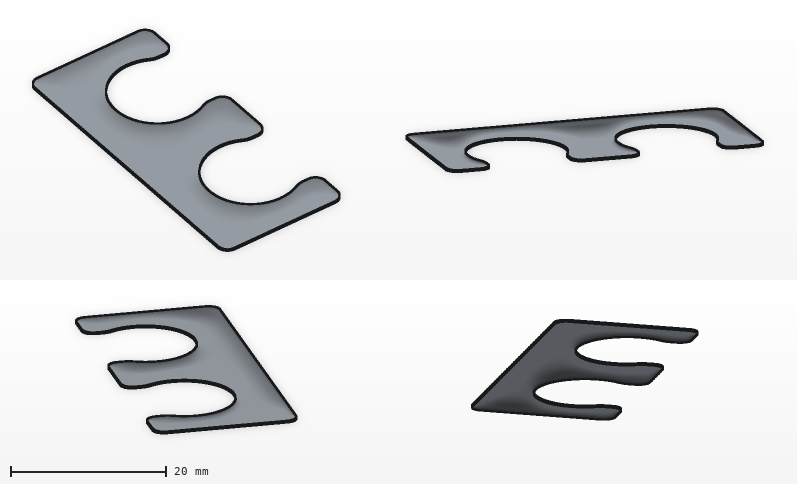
import cadquery as cq
import math

length = 42.85
width = 19.05
thickness = 0.25
corner_radius = 1.5

seat_radius = 6.6
seat_spacing = 20.3
seat_wall = 5.75
throat_width = 11.1
mouth_radius = 1.5
neck_radius = 3.0

back_y = width / 2
seat_y = -back_y + seat_wall + seat_radius
throat_length = back_y - seat_y


def clip_seat(x):
    """Round seat joined to the throat that opens it to the back edge."""
    seat = cq.Workplane("XY").center(x, seat_y).circle(seat_radius).extrude(thickness)
    throat = (
        cq.Workplane("XY")
        .center(x, seat_y + throat_length / 2)
        .rect(throat_width, throat_length)
        .extrude(thickness)
    )
    return seat.union(throat)


plate = cq.Workplane("XY").rect(length, width).extrude(thickness)
plate = plate.edges("|Z").fillet(corner_radius)

for seat_x in (-seat_spacing / 2, seat_spacing / 2):
    plate = plate.cut(clip_seat(seat_x))

neck_y = seat_y + math.sqrt(seat_radius**2 - (throat_width / 2) ** 2)


def throat_edges(y):
    """Selector for the upright throat edges at depth y, clear of the plate's end corners."""
    half_span = length / 2 - 2 * corner_radius
    margin = 0.45
    return cq.selectors.BoxSelector(
        (-half_span, y - margin, -margin),
        (half_span, y + margin, thickness + margin),
    )


plate = plate.edges("|Z").edges(throat_edges(neck_y)).fillet(neck_radius)
result = plate.edges("|Z").edges(throat_edges(back_y)).fillet(mouth_radius)